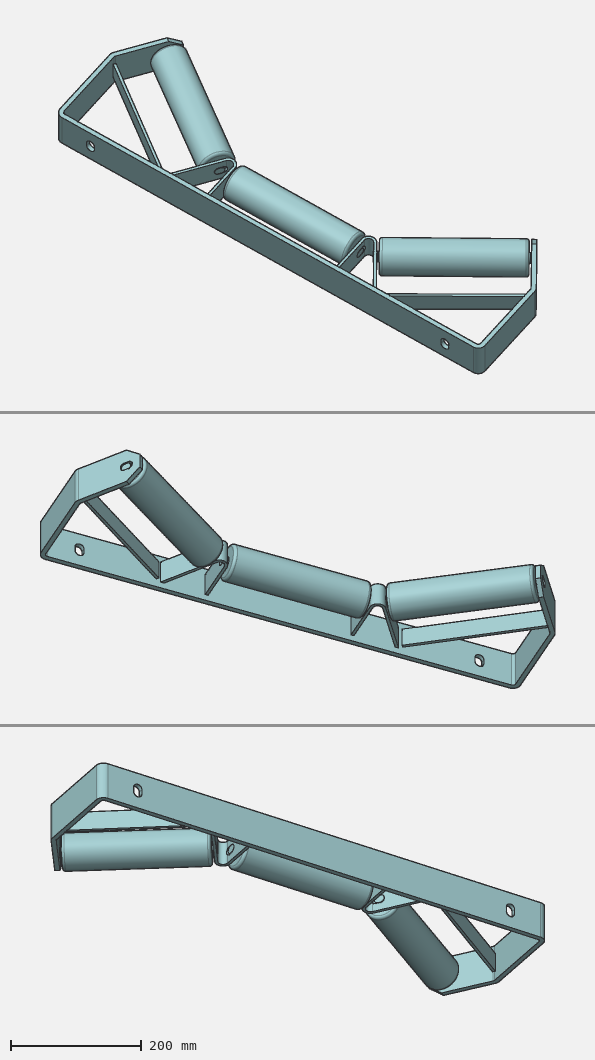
import cadquery as cq
import math


side_tilt = 35.0

frame_width = 800.0
frame_height = 62.0
frame_plate = 8.0
frame_bend = 13.0
wall_top = 143.0
arm_length = 110.0
arm_tip_width = 26.0
arm_tip_cut = 24.0
arm_axis_inset = 26.0

mount_slot_x = 334.0
mount_slot_width = 14.0
mount_slot_length = 22.0

bracket_height = 40.0
bracket_plate = 5.0
bracket_bend = 13.0
bracket_x = 119.0
bracket_top = 94.0

brace_height = 32.0
brace_plate = 5.0
brace_tilt = 35.5
brace_foot_x = 206.0

roller_diameter = 59.0
roller_length = 230.0
roller_round = 5.0
middle_roller_y = 70.0
shaft_diameter = 17.0
shaft_round_length = 234.0
tongue_width = 14.0
shaft_slot_rise = 13.0

shaft_length = 2 * (bracket_x + bracket_plate)


def direction(angle):
    """Unit vector in the XY plane at an angle in degrees from +X."""
    return cq.Vector(math.cos(math.radians(angle)), math.sin(math.radians(angle)))


UP = direction(90)
DOWN = direction(270)
LEFT = direction(180)
RIGHT = direction(0)
outward = direction(180 - side_tilt)
along_arm = direction(90 - side_tilt)

bend_x = -frame_width / 2 + frame_bend
corner_centre = cq.Vector(bend_x, frame_bend)
upper_centre = cq.Vector(bend_x, wall_top)
arm_tip = upper_centre + outward * frame_bend + along_arm * arm_length
hook_centre = cq.Vector(-bracket_x - bracket_bend, bracket_top - bracket_bend)

arm_axis_point = arm_tip - along_arm * arm_axis_inset
arm_face = arm_axis_point.dot(outward) - frame_plate
leg_face = hook_centre.dot(outward) + bracket_bend
side_roller_shift = arm_axis_point.dot(outward) - (arm_face + leg_face) / 2
side_roller_centre = arm_axis_point - outward * side_roller_shift
bracket_axis_point = side_roller_centre + outward * (leg_face - side_roller_centre.dot(outward))


def xy(vector):
    return (vector.x, vector.y)


def upright_plate(outline, height):
    """Extrude a closed XY outline to a plate centred on Z = 0."""
    return outline.extrude(height / 2, both=True)


def mirrored(body):
    return body.mirror("YZ")


def shaft_slot(axis_point, axis, depth):
    """Obround slot for a shaft tongue, which rests in the lower end of the slot."""
    plane = cq.Plane(origin=axis_point.toTuple(), xDir=(0, 0, 1), normal=axis.toTuple())
    length = shaft_slot_rise + shaft_diameter / 2
    centre_height = shaft_slot_rise - length / 2
    upward = math.copysign(centre_height, plane.yDir.y)
    return (
        cq.Workplane(plane)
        .center(0, upward)
        .slot2D(length, tongue_width, 90)
        .extrude(depth, both=True)
    )


def half_frame_strip():
    inner_bend = frame_bend - frame_plate
    corner_middle = direction(225)
    upper_middle = direction(180 - side_tilt / 2)
    outline = (
        cq.Workplane("XY")
        .moveTo(0, 0)
        .lineTo(*xy(corner_centre + DOWN * frame_bend))
        .threePointArc(
            xy(corner_centre + corner_middle * frame_bend), xy(corner_centre + LEFT * frame_bend)
        )
        .lineTo(*xy(upper_centre + LEFT * frame_bend))
        .threePointArc(
            xy(upper_centre + upper_middle * frame_bend), xy(upper_centre + outward * frame_bend)
        )
        .lineTo(*xy(arm_tip))
        .lineTo(*xy(arm_tip - outward * frame_plate))
        .lineTo(*xy(upper_centre + outward * inner_bend))
        .threePointArc(
            xy(upper_centre + upper_middle * inner_bend), xy(upper_centre + LEFT * inner_bend)
        )
        .lineTo(*xy(corner_centre + LEFT * inner_bend))
        .threePointArc(
            xy(corner_centre + corner_middle * inner_bend), xy(corner_centre + DOWN * inner_bend)
        )
        .lineTo(0, frame_plate)
        .close()
    )
    return upright_plate(outline, frame_height)


def arm_tip_corner(side):
    """Wedge that cuts the upper (+1) or lower (-1) corner off the arm tip."""
    tip_plane = cq.Plane(origin=arm_tip.toTuple(), xDir=along_arm.toTuple(), normal=outward.toTuple())
    edge = side * frame_height / 2
    wedge = [(0, side * arm_tip_width / 2), (0, edge), (-arm_tip_cut, edge)]
    return cq.Workplane(tip_plane).polyline(wedge).close().extrude(2 * frame_plate, both=True)


def mounting_slot():
    return (
        cq.Workplane("XZ")
        .center(-mount_slot_x, 0)
        .slot2D(mount_slot_length, mount_slot_width, 90)
        .extrude(2 * frame_plate, both=True)
    )


def make_frame():
    half = half_frame_strip()
    for side in (1, -1):
        half = half.cut(arm_tip_corner(side))
    half = half.cut(shaft_slot(arm_axis_point, outward, 2 * frame_plate))
    half = half.cut(mounting_slot())
    return half.union(mirrored(half))


def make_bracket():
    """Hook with an upright leg for the middle roller and a sloping leg for the side roller."""
    inner_bend = bracket_bend - bracket_plate

    def sloping_foot(radius):
        leg_top = hook_centre + outward * radius
        return leg_top - along_arm * ((leg_top.y - frame_plate) / along_arm.y)

    outline = (
        cq.Workplane("XY")
        .moveTo(*xy(sloping_foot(bracket_bend)))
        .lineTo(*xy(hook_centre + outward * bracket_bend))
        .threePointArc(xy(hook_centre + UP * bracket_bend), xy(hook_centre + RIGHT * bracket_bend))
        .lineTo(hook_centre.x + bracket_bend, frame_plate)
        .lineTo(hook_centre.x + inner_bend, frame_plate)
        .lineTo(*xy(hook_centre + RIGHT * inner_bend))
        .threePointArc(xy(hook_centre + UP * inner_bend), xy(hook_centre + outward * inner_bend))
        .lineTo(*xy(sloping_foot(inner_bend)))
        .close()
    )
    bracket = upright_plate(outline, bracket_height)
    bracket = bracket.cut(shaft_slot(bracket_axis_point, outward, 2 * bracket_plate))
    upright_axis_point = cq.Vector(-bracket_x, middle_roller_y)
    return bracket.cut(shaft_slot(upright_axis_point, RIGHT, 2 * bracket_plate))


def make_brace():
    """Square-ended bar whose underside runs from the base to the side wall."""
    along = direction(180 - brace_tilt)
    thickness = direction(90 - brace_tilt) * brace_plate
    foot = cq.Vector(-brace_foot_x, frame_plate)
    wall_face = -frame_width / 2 + frame_plate
    head = foot + along * ((wall_face - foot.x) / along.x)
    corners = [foot, head, head + thickness, foot + thickness]
    outline = cq.Workplane("XY").polyline([xy(corner) for corner in corners]).close()
    return upright_plate(outline, brace_height)


def axle(diameter, length):
    """Cylinder along X, centred on the origin."""
    return cq.Workplane("YZ", origin=(-length / 2, 0, 0)).circle(diameter / 2).extrude(length)


def make_roller(centre, tilt):
    """Roller with tongued shaft ends, its axis tilted down towards +X by an angle in degrees."""
    barrel = axle(roller_diameter, roller_length).edges().fillet(roller_round)
    shaft = axle(shaft_diameter, shaft_round_length)
    tongues = (
        cq.Workplane("YZ", origin=(-shaft_length / 2, 0, 0))
        .slot2D(shaft_diameter, tongue_width)
        .extrude(shaft_length)
    )
    roller = barrel.union(shaft).union(tongues)
    return roller.rotate((0, 0, 0), (0, 0, 1), -tilt).translate(centre.toTuple())


frame = make_frame()
middle_roller = make_roller(cq.Vector(0, middle_roller_y), 0)
bodies = [frame.val(), middle_roller.val()]
for left_body in (make_bracket(), make_brace(), make_roller(side_roller_centre, side_tilt)):
    bodies.append(left_body.val())
    bodies.append(mirrored(left_body).val())

result = cq.Compound.makeCompound(bodies)